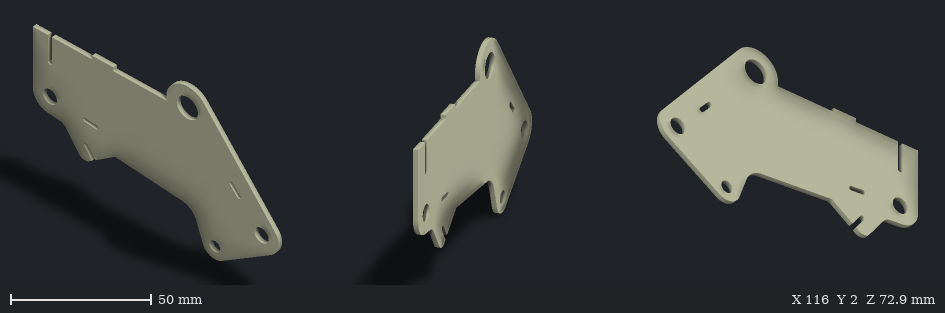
import cadquery as cq
import math

THICKNESS = 2.0
SLOT_WIDTH = 2.0

LEFT_PIVOT, LEFT_HOLE, LEFT_RADIUS = (0, 0), 6.7, 8.0
TOP_PIVOT, TOP_HOLE, TOP_RADIUS = (65.0, 30.0), 10.0, 10.0
RIGHT_PIVOT, RIGHT_HOLE, RIGHT_RADIUS = (100.0, -10.0), 6.7, 8.0
BOTTOM_PIVOT, BOTTOM_HOLE, BOTTOM_RADIUS = (78.0, -27.0), 5.1, 5.9

LEFT_EDGE_X = LEFT_PIVOT[0] - LEFT_RADIUS
TOP_EDGE_Z = 28.1
LOWER_EDGE_ANGLE = -5.7
BOTTOM_LOBE_ANGLE = -71.0
LOWER_CORNER_RADIUS = 8.0

TAB_START_X = 20.0
TAB_LENGTH = 10.0
TAB_HEIGHT = 1.7
TAB_ROOT_RADIUS = 0.5

TONGUE_CORNER = (15.8, -21.8)
TONGUE_ANGLE = 35.5
TONGUE_TIP_RADIUS = 3.5
TONGUE_LEFT_ROOT_RADIUS = 4.0
TONGUE_RIGHT_ROOT_RADIUS = 2.0
TONGUE_SLOT_OFFSET = 6.0
TONGUE_SLOT_DEPTH = 7.2

TOP_SLOT_BOTTOM_Z = 14.8
CLOSED_SLOT_LENGTH = 7.2
LEFT_SLOT_CENTER = (19.4, -2.0)
RIGHT_SLOT_CENTER, RIGHT_SLOT_ANGLE = (87.6, 4.1), -49


def polar(center, radius, angle):
    """Point at a distance and an angle in degrees from a centre."""
    turn = math.radians(angle)
    return (center[0] + radius * math.cos(turn), center[1] + radius * math.sin(turn))


def tangent_normal(start, start_radius, end, end_radius):
    """Outward normal angle of the line touching two circles, walking clockwise."""
    run, rise = end[0] - start[0], end[1] - start[1]
    lean = math.acos((start_radius - end_radius) / math.hypot(run, rise))
    return math.degrees(math.atan2(rise, run) + lean)


def crossing(point_a, angle_a, point_b, angle_b):
    """Intersection of two lines, each given by a point and an angle."""
    run, rise = point_b[0] - point_a[0], point_b[1] - point_a[1]
    turn_b = math.radians(angle_b)
    along = (run * math.sin(turn_b) - rise * math.cos(turn_b)) / math.sin(turn_b - math.radians(angle_a))
    return polar(point_a, along, angle_a)


def mid_plane():
    """Sketch plane whose local y axis is +Z, at the middle of the thickness."""
    return cq.Workplane("XZ")


def extrude_plate(sketch):
    return sketch.extrude(THICKNESS / 2, both=True)


def slot_cutter(center, length, angle):
    sketch = mid_plane().center(*center).slot2D(length, SLOT_WIDTH, angle)
    return extrude_plate(sketch)


right_normal = tangent_normal(TOP_PIVOT, TOP_RADIUS, RIGHT_PIVOT, RIGHT_RADIUS)
base_normal = tangent_normal(RIGHT_PIVOT, RIGHT_RADIUS, BOTTOM_PIVOT, BOTTOM_RADIUS)
lobe_normal = BOTTOM_LOBE_ANGLE - 90
lower_normal = LOWER_EDGE_ANGLE - 90
lobe_tangent = polar(BOTTOM_PIVOT, BOTTOM_RADIUS, lobe_normal)
lower_tangent = polar(LEFT_PIVOT, LEFT_RADIUS, lower_normal)
lower_corner = crossing(lower_tangent, LOWER_EDGE_ANGLE, lobe_tangent, BOTTOM_LOBE_ANGLE)
tongue_right_root = crossing(lower_tangent, LOWER_EDGE_ANGLE, TONGUE_CORNER, TONGUE_ANGLE)
tongue_left_root = crossing(lower_tangent, LOWER_EDGE_ANGLE, TONGUE_CORNER, TONGUE_ANGLE + 90)
tab_end_x = TAB_START_X + TAB_LENGTH
top_arc_x = TOP_PIVOT[0] - TOP_RADIUS


def outline():
    """Closed plate outline, clockwise from the upper left corner."""
    return (
        mid_plane()
        .moveTo(LEFT_EDGE_X, TOP_EDGE_Z)
        .lineTo(TAB_START_X, TOP_EDGE_Z)
        .lineTo(TAB_START_X, TOP_EDGE_Z + TAB_HEIGHT)
        .lineTo(tab_end_x, TOP_EDGE_Z + TAB_HEIGHT)
        .lineTo(tab_end_x, TOP_EDGE_Z)
        .lineTo(top_arc_x, TOP_EDGE_Z)
        .lineTo(top_arc_x, TOP_PIVOT[1])
        .threePointArc(polar(TOP_PIVOT, TOP_RADIUS, 90), polar(TOP_PIVOT, TOP_RADIUS, right_normal))
        .lineTo(*polar(RIGHT_PIVOT, RIGHT_RADIUS, right_normal))
        .threePointArc(polar(RIGHT_PIVOT, RIGHT_RADIUS, 0), polar(RIGHT_PIVOT, RIGHT_RADIUS, base_normal))
        .lineTo(*polar(BOTTOM_PIVOT, BOTTOM_RADIUS, base_normal))
        .threePointArc(polar(BOTTOM_PIVOT, BOTTOM_RADIUS, -90), lobe_tangent)
        .lineTo(*lower_corner)
        .lineTo(*tongue_right_root)
        .lineTo(*TONGUE_CORNER)
        .lineTo(*tongue_left_root)
        .lineTo(*lower_tangent)
        .threePointArc(polar(LEFT_PIVOT, LEFT_RADIUS, -135), (LEFT_EDGE_X, LEFT_PIVOT[1]))
        .close()
    )


plate = extrude_plate(outline())

for (corner_x, corner_z), corner_radius in (
    (lower_corner, LOWER_CORNER_RADIUS),
    (TONGUE_CORNER, TONGUE_TIP_RADIUS),
    (tongue_left_root, TONGUE_LEFT_ROOT_RADIUS),
    (tongue_right_root, TONGUE_RIGHT_ROOT_RADIUS),
    ((TAB_START_X, TOP_EDGE_Z), TAB_ROOT_RADIUS),
    ((tab_end_x, TOP_EDGE_Z), TAB_ROOT_RADIUS),
):
    corner_edge = cq.NearestToPointSelector((corner_x, 0, corner_z))
    plate = plate.edges("|Y").edges(corner_edge).fillet(corner_radius)

for pivot, hole_diameter in (
    (LEFT_PIVOT, LEFT_HOLE),
    (TOP_PIVOT, TOP_HOLE),
    (RIGHT_PIVOT, RIGHT_HOLE),
    (BOTTOM_PIVOT, BOTTOM_HOLE),
):
    plate = plate.cut(extrude_plate(mid_plane().center(*pivot).circle(hole_diameter / 2)))

plate = plate.cut(slot_cutter(LEFT_SLOT_CENTER, CLOSED_SLOT_LENGTH, LOWER_EDGE_ANGLE))
plate = plate.cut(slot_cutter(RIGHT_SLOT_CENTER, CLOSED_SLOT_LENGTH, RIGHT_SLOT_ANGLE))

top_slot_depth = TOP_EDGE_Z - TOP_SLOT_BOTTOM_Z
plate = plate.cut(slot_cutter((LEFT_PIVOT[0], TOP_EDGE_Z), 2 * top_slot_depth, 90))
tongue_slot_mouth = polar(TONGUE_CORNER, TONGUE_SLOT_OFFSET, TONGUE_ANGLE)
plate = plate.cut(slot_cutter(tongue_slot_mouth, 2 * TONGUE_SLOT_DEPTH, TONGUE_ANGLE + 90))

result = plate